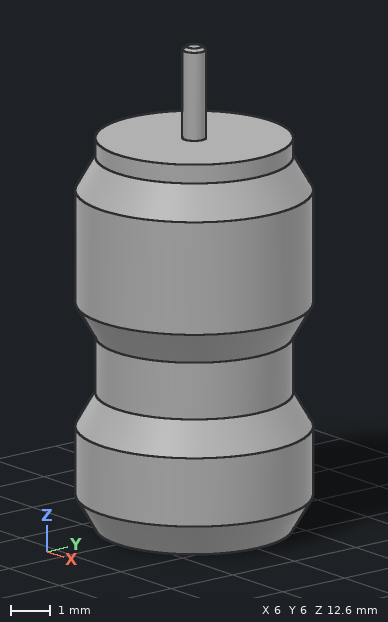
import cadquery as cq
import math

total_height = 12.6
body_height = 10.2
body_radius = 3.0
neck_radius = 2.5
cone_angle = 30.0
lower_band_height = 1.79
neck_height = 1.49
top_rim_height = 0.49
pin_radius = 0.3
pin_tip_radius = 0.2
pin_tip_height = 0.09

cone_height = (body_radius - neck_radius) / math.tan(math.radians(cone_angle))
lower_band_bottom = cone_height
lower_band_top = lower_band_bottom + lower_band_height
neck_bottom = lower_band_top + cone_height
neck_top = neck_bottom + neck_height
upper_band_bottom = neck_top + cone_height
rim_bottom = body_height - top_rim_height
upper_band_top = rim_bottom - cone_height
pin_shoulder = total_height - pin_tip_height

profile = [
    (0, 0),
    (neck_radius, 0),
    (body_radius, lower_band_bottom),
    (body_radius, lower_band_top),
    (neck_radius, neck_bottom),
    (neck_radius, neck_top),
    (body_radius, upper_band_bottom),
    (body_radius, upper_band_top),
    (neck_radius, rim_bottom),
    (neck_radius, body_height),
    (pin_radius, body_height),
    (pin_radius, pin_shoulder),
    (pin_tip_radius, total_height),
    (0, total_height),
]

result = cq.Workplane("XZ").polyline(profile).close().revolve(360, (0, 0), (0, 1))